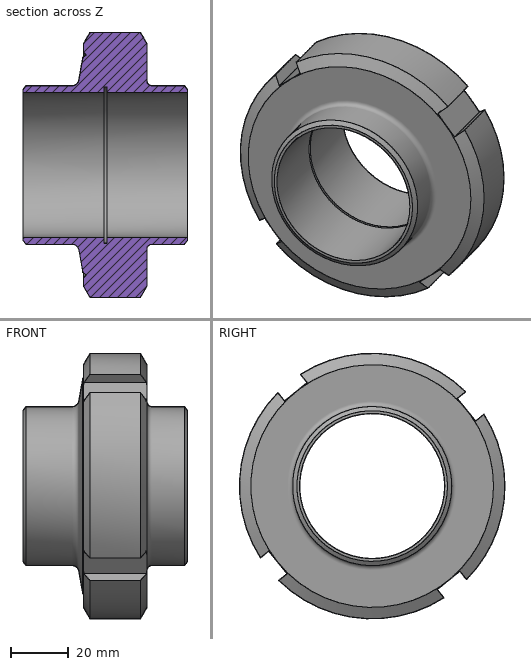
import cadquery as cq
import math

total_length = 57.0
bore_radius = 50.0 / 2
pipe_radius = 55.0 / 2
bevel_length = 1.1
bevel_depth = 1.5

nut_radius = 45.9
nut_start = 20.9
nut_end = 43.0
nut_chamfer_length = 2.3
nut_chamfer_depth = nut_chamfer_length * math.tan(math.radians(60))
slot_count = 4
slot_width = 10.0
slot_floor_distance = 41.95
first_slot_angle = 39.0
slot_overcut = 0.9

collar_angle = math.radians(10)
collar_fillet = 2.3
collar_rim_radius = 37.2
long_pipe_end = 17.1
short_pipe_fillet = 1.65

rim_groove_outer_radius = 78 / 2
rim_groove_bottom_radius = 38.1
rim_groove_depth = 0.9

joint_start = 28.1
joint_width = 1.0
joint_radius = 54.0 / 2


def make_body():
    """Revolve the half section of the pipes, collar and nut about X."""
    def fillet_point(angle):
        x = long_pipe_end + collar_fillet * math.sin(angle)
        radius = pipe_radius + collar_fillet * (1 - math.cos(angle))
        return x, radius

    fillet_sweep = math.pi / 2 - collar_angle
    fillet_end = fillet_point(fillet_sweep)
    rim_x = fillet_end[0] + (collar_rim_radius - fillet_end[1]) * math.tan(collar_angle)
    nut_face_radius = nut_radius - nut_chamfer_depth
    bevel_radius = pipe_radius - bevel_depth
    fillet_45 = math.sqrt(0.5) * short_pipe_fillet
    short_pipe_start = nut_end + short_pipe_fillet

    section = (
        cq.Workplane("XY")
        .moveTo(0, bore_radius)
        .lineTo(0, bevel_radius)
        .lineTo(bevel_length, pipe_radius)
        .lineTo(long_pipe_end, pipe_radius)
        .threePointArc(fillet_point(fillet_sweep / 2), fillet_end)
        .lineTo(rim_x, collar_rim_radius)
        .lineTo(nut_start + rim_groove_depth, rim_groove_bottom_radius)
        .lineTo(nut_start, rim_groove_outer_radius)
        .lineTo(nut_start, nut_face_radius)
        .lineTo(nut_start + nut_chamfer_length, nut_radius)
        .lineTo(nut_end - nut_chamfer_length, nut_radius)
        .lineTo(nut_end, nut_face_radius)
        .lineTo(nut_end, pipe_radius + short_pipe_fillet)
        .threePointArc(
            (short_pipe_start - fillet_45, pipe_radius + short_pipe_fillet - fillet_45),
            (short_pipe_start, pipe_radius),
        )
        .lineTo(total_length - bevel_length, pipe_radius)
        .lineTo(total_length, bevel_radius)
        .lineTo(total_length, bore_radius)
        .close()
    )
    return section.revolve(360, (0, 0, 0), (1, 0, 0))


def cut_joint_groove(body):
    """Cut the narrow ring groove into the bore wall."""
    groove = cq.Workplane("YZ").workplane(offset=joint_start).circle(joint_radius).extrude(joint_width)
    core = cq.Workplane("YZ").workplane(offset=joint_start).circle(bore_radius).extrude(joint_width)
    return body.cut(groove.cut(core))


def cut_spanner_slots(body):
    """Cut flat-bottomed slots across the full width of the nut rim."""
    slot_height = nut_radius - slot_floor_distance + slot_overcut
    slot = cq.Workplane("XY").box(
        nut_end - nut_start, slot_height, slot_width, centered=(False, False, True)
    ).translate((nut_start, slot_floor_distance, 0))
    for index in range(slot_count):
        angle = first_slot_angle + index * 360 / slot_count
        body = body.cut(slot.rotate((0, 0, 0), (1, 0, 0), angle))
    return body


result = cut_spanner_slots(cut_joint_groove(make_body()))